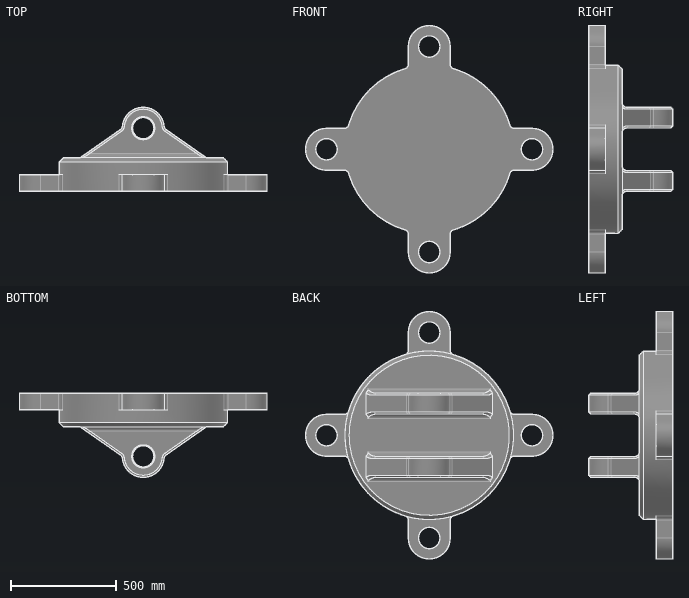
import cadquery as cq
import math

plate_radius = 400.0
plate_thickness = 160.0
plate_chamfer = 20.0

lug_count = 4
lug_center_radius = 487.5
lug_radius = 100.0
lug_thickness = 80.0
lug_hole_diameter = 100.0
lug_root_fillet = 20.0

ear_tip_radius = 100.0
ear_thickness = 100.0
ear_half_base = 300.0
ear_hole_y = 300.0
ear_hole_diameter = 100.0
ear_hole_chamfer = 5.0
ear_spacing = 300.0
ear_neck_fillet = 20.0
ear_edge_chamfer = 10.0
ear_root_fillet = 20.0

ear_foot_depth = 10.0

pick_margin = 1.0


def box_between(corner, opposite):
    """Select edges whose center lies in the box, enlarged by the margin."""
    low = [min(a, b) - pick_margin for a, b in zip(corner, opposite)]
    high = [max(a, b) + pick_margin for a, b in zip(corner, opposite)]
    return cq.selectors.BoxSelector(low, high)


def make_plate():
    plate = cq.Workplane("XZ").circle(plate_radius).extrude(-plate_thickness)
    return plate.faces(">Y").edges().chamfer(plate_chamfer)


def make_lug():
    """One lug along +X, blended into a disc of the plate's radius."""
    root_x = math.sqrt(plate_radius**2 - lug_radius**2)
    hub = cq.Workplane("XZ").circle(plate_radius).extrude(-lug_thickness)
    lug = (
        cq.Workplane("XZ")
        .moveTo(0, -lug_radius)
        .lineTo(lug_center_radius, -lug_radius)
        .threePointArc((lug_center_radius + lug_radius, 0), (lug_center_radius, lug_radius))
        .lineTo(0, lug_radius)
        .close()
        .extrude(-lug_thickness)
    )
    root_edges = box_between((root_x, 0, -lug_radius), (root_x, lug_thickness, lug_radius))
    lug = hub.union(lug).edges("|Y").edges(root_edges).fillet(lug_root_fillet)
    hole = (
        cq.Workplane("XZ")
        .center(lug_center_radius, 0)
        .circle(lug_hole_diameter / 2)
        .extrude(-lug_thickness)
    )
    return lug.cut(hole)


def add_lugs(body):
    lug = make_lug()
    for index in range(lug_count):
        angle = index * 360.0 / lug_count
        body = body.union(lug.rotate((0, 0, 0), (0, 1, 0), angle))
    return body


def ear_cross_section(z_center):
    """Ear thickness flared by the root fillets, as a bar along X longer than the ear."""
    half = ear_thickness / 2
    foot_half = half + ear_root_fillet
    flare_top = plate_thickness + ear_root_fillet
    tip_y = ear_hole_y + ear_tip_radius
    foot_y = plate_thickness - ear_foot_depth
    bar_length = 4 * ear_half_base
    bend = ear_root_fillet * (1 - math.sqrt(0.5))
    return (
        cq.Workplane("ZY", origin=(bar_length / 2, 0, z_center))
        .moveTo(-foot_half, foot_y)
        .lineTo(-foot_half, plate_thickness)
        .threePointArc((-half - bend, plate_thickness + bend), (-half, flare_top))
        .lineTo(-half, tip_y)
        .lineTo(half, tip_y)
        .lineTo(half, flare_top)
        .threePointArc((half + bend, plate_thickness + bend), (foot_half, plate_thickness))
        .lineTo(foot_half, foot_y)
        .close()
        .extrude(bar_length)
    )


def make_ear(z_center):
    """Ear with sloping flanks, a round tip, a flared root and a cross hole."""
    foot_y = plate_thickness - ear_foot_depth
    slope = (ear_hole_y - plate_thickness) / (ear_half_base - ear_tip_radius)
    foot_half_length = ear_half_base + ear_foot_depth / slope
    foot_half_width = ear_thickness / 2 + ear_root_fillet
    z_low = z_center - foot_half_width
    z_high = z_center + foot_half_width
    ear = (
        cq.Workplane("XY", origin=(0, 0, z_low))
        .moveTo(-foot_half_length, foot_y)
        .lineTo(-ear_tip_radius, ear_hole_y)
        .threePointArc((0, ear_hole_y + ear_tip_radius), (ear_tip_radius, ear_hole_y))
        .lineTo(foot_half_length, foot_y)
        .close()
        .extrude(2 * foot_half_width)
    )
    neck_edges = box_between((-ear_tip_radius, ear_hole_y, z_low), (ear_tip_radius, ear_hole_y, z_high))
    ear = ear.edges("|Z").edges(neck_edges).fillet(ear_neck_fillet)
    ear = ear.intersect(ear_cross_section(z_center))

    ear = ear.edges(">Y").chamfer(ear_edge_chamfer)
    hole = (
        cq.Workplane("XY", origin=(0, ear_hole_y, z_low))
        .circle(ear_hole_diameter / 2)
        .extrude(2 * foot_half_width)
    )
    ear = ear.cut(hole)
    hole_rims = box_between((0, ear_hole_y, z_low), (0, ear_hole_y, z_high))
    return ear.edges("%CIRCLE").edges(hole_rims).chamfer(ear_hole_chamfer)


result = add_lugs(make_plate())
for side in (-1, 1):
    result = result.union(make_ear(side * ear_spacing / 2))